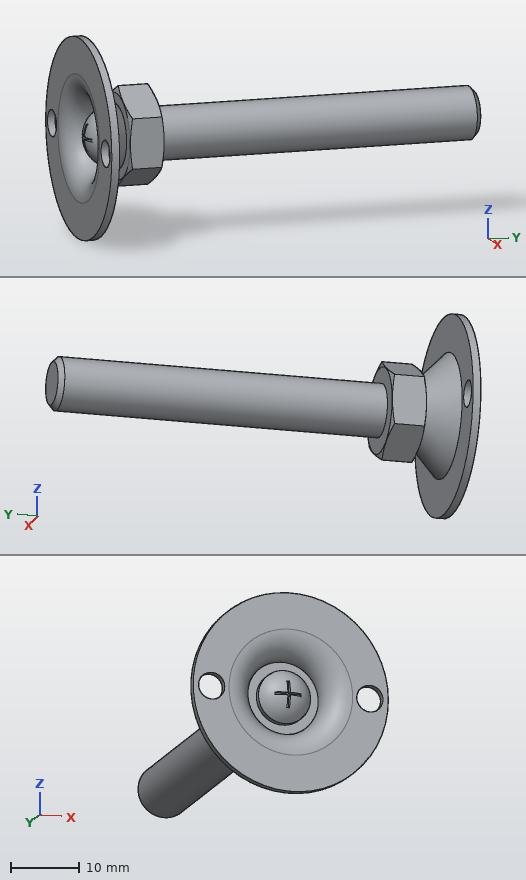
import cadquery as cq
import math

total_length = 61.0

plate_diameter = 30.0
plate_thickness = 1.2
hub_base_diameter = 18.7
hub_top_diameter = 9.6

recess_floor_diameter = 11.0
recess_flare_radius = 4.0

fixing_hole_diameter = 4.0
fixing_hole_offset = 12.15

stud_diameter = 8.0
dome_height = 2.2
dome_stand_off = 1.0
stud_tip_chamfer = 0.8

slot_length = 4.0
slot_width = 0.4
slot_depth = 1.0

nut_across_flats = 13.0
nut_height = 5.25
nut_chamfer_height = 0.35
nut_chamfer_angle = 18.0

hub_height = (hub_base_diameter - hub_top_diameter) / 2
foot_height = plate_thickness + hub_height
dome_base_y = recess_flare_radius - dome_stand_off
crown_y = dome_base_y - dome_height


def along_y(start):
    """Workplane at y = start whose extrusions grow toward +Y (local x = X, local y = -Z)."""
    return cq.Workplane(cq.Plane(origin=(0, start, 0), xDir=(1, 0, 0), normal=(0, 1, 0)))


def revolve_about_y(profile):
    return profile.close().revolve(360, (0, 0, 0), (0, 1, 0))


def make_foot():
    plate_radius = plate_diameter / 2
    floor_radius = recess_floor_diameter / 2
    rim_radius = floor_radius + recess_flare_radius
    arc_offset = recess_flare_radius * math.sqrt(0.5)
    profile = (
        cq.Workplane("XY")
        .moveTo(0, recess_flare_radius)
        .lineTo(floor_radius, recess_flare_radius)
        .threePointArc((rim_radius - arc_offset, recess_flare_radius - arc_offset), (rim_radius, 0))
        .lineTo(plate_radius, 0)
        .lineTo(plate_radius, plate_thickness)
        .lineTo(hub_base_diameter / 2, plate_thickness)
        .lineTo(hub_top_diameter / 2, foot_height)
        .lineTo(0, foot_height)
    )
    holes = (
        along_y(0)
        .pushPoints([(-fixing_hole_offset, 0), (fixing_hole_offset, 0)])
        .circle(fixing_hole_diameter / 2)
        .extrude(plate_thickness)
    )
    return revolve_about_y(profile).cut(holes)


def make_stud():
    radius = stud_diameter / 2
    dome_radius = (radius**2 + dome_height**2) / (2 * dome_height)
    mid_angle = math.asin(radius / dome_radius) / 2
    dome_mid = (dome_radius * math.sin(mid_angle), crown_y + dome_radius * (1 - math.cos(mid_angle)))
    profile = (
        cq.Workplane("XY")
        .moveTo(0, crown_y)
        .threePointArc(dome_mid, (radius, dome_base_y))
        .lineTo(radius, total_length - stud_tip_chamfer)
        .lineTo(radius - stud_tip_chamfer, total_length)
        .lineTo(0, total_length)
    )
    return revolve_about_y(profile)


def make_driver_slot():
    bar = along_y(crown_y).rect(slot_length, slot_width).extrude(slot_depth)
    return bar.union(bar.rotate((0, 0, 0), (0, 1, 0), 90))


def make_nut():
    corner_diameter = nut_across_flats / math.cos(math.radians(30))
    hexagon = (
        along_y(foot_height)
        .polygon(6, corner_diameter)
        .extrude(nut_height)
        .rotate((0, 0, 0), (0, 1, 0), 90)
    )
    corner_radius = corner_diameter / 2
    face_radius = corner_radius - nut_chamfer_height / math.tan(math.radians(nut_chamfer_angle))
    nut_top = foot_height + nut_height
    envelope = (
        cq.Workplane("XY")
        .moveTo(0, foot_height)
        .lineTo(face_radius, foot_height)
        .lineTo(corner_radius, foot_height + nut_chamfer_height)
        .lineTo(corner_radius, nut_top - nut_chamfer_height)
        .lineTo(face_radius, nut_top)
        .lineTo(0, nut_top)
    )
    return hexagon.intersect(revolve_about_y(envelope))


result = make_foot().union(make_stud()).union(make_nut()).cut(make_driver_slot())